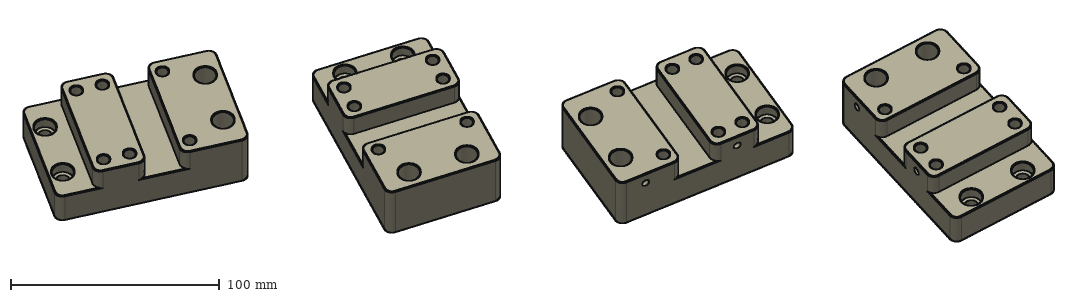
import cadquery as cq

width = 60.0
length = 96.5
height = 30.0
ledge_height = 18.0
corner_radius = 4.0
edge_chamfer = 0.5

front_y = -length / 2
rear_y = length / 2

rear_block_length = 34.0
rear_block_y = rear_y - rear_block_length / 2
clamp_block_length = 26.0
channel_width = 17.5
clamp_block_y = rear_y - rear_block_length - channel_width - clamp_block_length / 2

bolt_diameter = 6.5
counterbore_diameter = 10.5
bolt_seat_height = 12.0
bolt_x_spacing = 30.0
rear_bolt_setback = 9.0
front_bolt_setback = 7.5
rear_bolt_y = rear_y - rear_bolt_setback
front_bolt_y = front_y + front_bolt_setback

small_hole_diameter = 5.7
small_hole_x_spacing = 46.0
clamp_hole_y_spacing = 13.0
blind_hole_setback = 28.0
blind_hole_y = rear_y - blind_hole_setback
blind_hole_depth = height - ledge_height

cross_hole_diameter = 3.75
cross_hole_depth = 10.0
cross_hole_height = 23.5
cross_hole_y_spacing = 50.0
rear_cross_hole_y = clamp_block_y + cross_hole_y_spacing


def rounded_block(block_length, centre_y, top):
    """Full-width block from Z = 0 with rounded corners and chamfered ends."""
    block = cq.Workplane("XY").center(0, centre_y).rect(width, block_length).extrude(top)
    block = block.edges("|Z").fillet(corner_radius)
    return block.faces("<Z or >Z").edges().chamfer(edge_chamfer)


def raised_block(block_length, centre_y):
    """Upper block that starts just under the ledge, filling the ledge edge chamfer."""
    start = ledge_height - edge_chamfer
    block = rounded_block(block_length, centre_y, height)
    below_start = cq.Workplane("XY").box(2 * width, 2 * length, start, centered=(True, True, False))
    return block.cut(below_start)


def vertical_hole(x, y, diameter, bottom, top):
    """Cutter for an upright hole with a chamfered mouth at its top."""
    radius = diameter / 2
    profile = [
        (0, bottom),
        (radius, bottom),
        (radius, top - edge_chamfer),
        (radius + edge_chamfer, top),
        (0, top),
    ]
    cutter = cq.Workplane("XZ").polyline(profile).close().revolve(360, (0, 0), (0, 1))
    return cutter.translate((x, y, 0))


def bolt_hole(x, y, top):
    """Cutter for a through hole with a counterbore opening at the given level."""
    shank = cq.Workplane("XY").center(x, y).circle(bolt_diameter / 2).extrude(top)
    return shank.union(vertical_hole(x, y, counterbore_diameter, bolt_seat_height, top))


def cross_hole(y):
    """Cutter for a blind hole entering from the -X side."""
    start = cq.Workplane("YZ", origin=(-width / 2, y, cross_hole_height))
    return start.circle(cross_hole_diameter / 2).extrude(cross_hole_depth)


body = rounded_block(length, 0, ledge_height)
body = body.union(raised_block(rear_block_length, rear_block_y))
body = body.union(raised_block(clamp_block_length, clamp_block_y))

for side in (-1, 1):
    bolt_x = side * bolt_x_spacing / 2
    body = body.cut(bolt_hole(bolt_x, rear_bolt_y, height))
    body = body.cut(bolt_hole(bolt_x, front_bolt_y, ledge_height))

    small_hole_x = side * small_hole_x_spacing / 2
    blind_bottom = height - blind_hole_depth
    body = body.cut(vertical_hole(small_hole_x, blind_hole_y, small_hole_diameter, blind_bottom, height))
    for end in (-1, 1):
        hole_y = clamp_block_y + end * clamp_hole_y_spacing / 2
        body = body.cut(vertical_hole(small_hole_x, hole_y, small_hole_diameter, 0, height))

for hole_y in (rear_cross_hole_y, clamp_block_y):
    body = body.cut(cross_hole(hole_y))

result = body